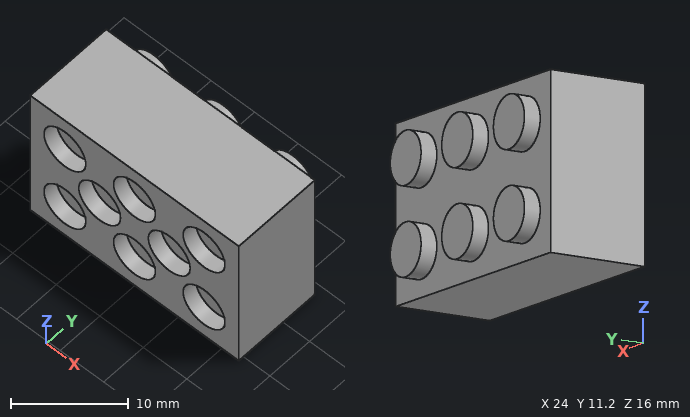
import cadquery as cq

pitch = 8.0
columns = 3
rows = 2
body_depth = 9.6
stud_diameter = 4.8
stud_height = 1.6
socket_diameter = 4.8
socket_depth = 1.6

body_width = columns * pitch
body_height = rows * pitch


def grid_points(column_count, row_count):
    """Centres (x, z) of a square grid placed about the block's middle axis."""
    return [
        ((column - (column_count - 1) / 2) * pitch, (row - (row_count - 1) / 2) * pitch)
        for column in range(column_count)
        for row in range(row_count)
    ]


def cylinders_along_y(points, diameter, start_y, length):
    """Equal cylinders that start at start_y and run toward +Y."""
    plane = cq.Plane(origin=(0, start_y, 0), xDir=(1, 0, 0), normal=(0, -1, 0))
    return cq.Workplane(plane).pushPoints(points).circle(diameter / 2).extrude(-length)


body = cq.Workplane("XY").box(body_width, body_depth, body_height, centered=(True, False, True))

stud_points = grid_points(columns, rows)
studs = cylinders_along_y(stud_points, stud_diameter, body_depth, stud_height)

middle_points = grid_points(columns - 1, rows - 1)
sockets = cylinders_along_y(stud_points + middle_points, socket_diameter, 0, socket_depth)

result = body.union(studs).cut(sockets)